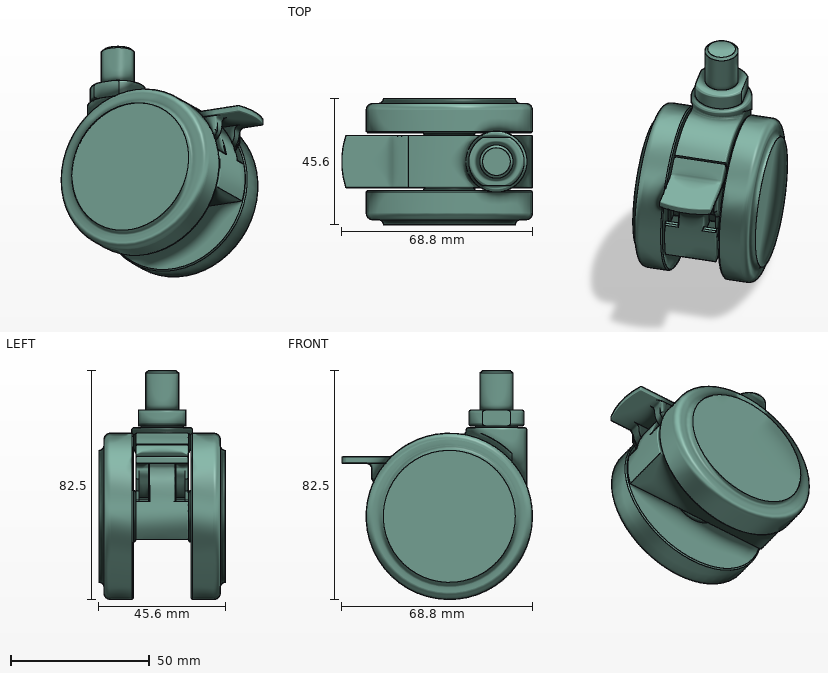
import cadquery as cq
import math


wheel_radius = 30.0
wheel_inner_y = 10.4
wheel_face_y = 21.0
wheel_inner_chamfer = 0.5
wheel_outer_fillet = 2.4
cap_radius = 23.8
cap_outer_y = 22.8
cap_blend = cap_outer_y - wheel_face_y
hub_radius = 9.3
hub_fillet = 0.8

housing_half_width = 9.5
housing_radius = wheel_radius
housing_bottom_z = -8.4
housing_edge_fillet = 0.4
beyond_side_y = 2 * housing_half_width
wheel_clearance_radius = 32.0
swivel_x = 17.0
barrel_radius = 11.0
barrel_top_z = 32.0
barrel_top_fillet = 1.0
barrel_root_fillet = 1.0

neck_radius = 7.65
collar_radius = 10.0
collar_bottom_z = 32.5
collar_top_z = 38.4
collar_fillet = 1.0
collar_across_flats = 17.2
stem_radius = 6.0
stem_top_z = 52.5
stem_chamfer_height = 0.85
stem_chamfer_width = 1.0

lever_tip_x = -38.81
lever_tip_radius = 30.0
lever_top_z = 21.5
lever_bottom_z = 19.05
lever_blend_start_x = -22.0
lever_blend_end_x = -20.0
lever_joint_angle = 119.5
lever_joint_gap = 0.5
lever_edge_fillet = 0.5

slot_inner_y = 4.6
slot_back_x = -19.0
slot_floor_z = 2.0
rib_edge_fillet = 0.3
lip_z = 5.8
lip_chamfer_x = -29.0
lip_back_x = -27.7
leg_clearance = 0.35
leg_front_x = -28.0
leg_root_fillet = 1.9
leg_roll_start_z = 16.4
leg_roll_radius = 6.8
leg_roll_angle = math.radians(45)
leg_foot_top_z = 6.8
leg_foot_bottom_z = 4.0
cheek_inner_y = 8.3
cheek_bend_z = 13.5
cheek_foot_x = -25.2
cheek_foot_z = 9.2
cheek_edge_fillet = 0.8


def on_circle(radius, angle):
    """Point in the XZ plane at an angle (degrees) from +X around the wheel axle."""
    return (radius * math.cos(math.radians(angle)), radius * math.sin(math.radians(angle)))


def on_housing_rim(x):
    """Upper point of the housing drum at a given X."""
    return (x, math.sqrt(housing_radius**2 - x**2))


def extrude_y(outline, y_start, y_end):
    """Prism of an XZ outline between two Y positions."""
    return outline.extrude(y_end - y_start).translate((0, y_end, 0))


def make_wheel(side):
    """Wheel with raised cap and inner hub; side is +1 or -1 along Y."""
    corner = math.sqrt(0.5)
    fillet_centre = (wheel_radius - wheel_outer_fillet, wheel_face_y - wheel_outer_fillet)
    blend_centre = (cap_radius + cap_blend, cap_outer_y)
    hub_centre = (hub_radius - hub_fillet, housing_half_width + hub_fillet)
    profile = (
        cq.Workplane("XY")
        .moveTo(0, housing_half_width)
        .lineTo(hub_centre[0], housing_half_width)
        .threePointArc(
            (hub_centre[0] + hub_fillet * corner, hub_centre[1] - hub_fillet * corner),
            (hub_radius, hub_centre[1]),
        )
        .lineTo(hub_radius, wheel_inner_y)
        .lineTo(wheel_radius - wheel_inner_chamfer, wheel_inner_y)
        .lineTo(wheel_radius, wheel_inner_y + wheel_inner_chamfer)
        .lineTo(wheel_radius, fillet_centre[1])
        .threePointArc(
            (fillet_centre[0] + wheel_outer_fillet * corner, fillet_centre[1] + wheel_outer_fillet * corner),
            (fillet_centre[0], wheel_face_y),
        )
        .lineTo(blend_centre[0], wheel_face_y)
        .threePointArc(
            (blend_centre[0] - cap_blend * corner, blend_centre[1] - cap_blend * corner),
            (cap_radius, cap_outer_y),
        )
        .lineTo(0, cap_outer_y)
        .close()
    )
    wheel = profile.revolve(360, (0, 0, 0), (0, 1, 0))
    return wheel if side > 0 else wheel.mirror("XZ")


def make_lever_pocket():
    """Space cleared in the housing for the lever plate: a sector above the plate's underside."""
    outside_radius = 1.5 * housing_radius
    joint_top = on_circle(outside_radius, lever_joint_angle)
    joint_foot_x = lever_bottom_z / math.tan(math.radians(lever_joint_angle))
    outline = cq.Workplane("XZ").polyline(
        [
            (joint_foot_x, lever_bottom_z),
            joint_top,
            (-outside_radius, joint_top[1]),
            (-outside_radius, lever_bottom_z),
        ]
    ).close()
    return extrude_y(outline, -beyond_side_y, beyond_side_y)


def make_leg_slot(side):
    """Slot open to the front and the side of the housing, with a flat, chamfered lip at its mouth."""
    outline = cq.Workplane("XZ").polyline(
        [
            (-housing_radius, lip_z - (housing_radius + lip_chamfer_x)),
            (lip_chamfer_x, lip_z),
            (lip_back_x, lip_z),
            (lip_back_x, slot_floor_z),
            (slot_back_x, slot_floor_z),
            (slot_back_x, lever_bottom_z),
            (-housing_radius, lever_bottom_z),
        ]
    ).close()
    slot = extrude_y(outline, slot_inner_y, beyond_side_y)
    return slot if side > 0 else slot.mirror("XZ")


def make_drum():
    """Drum between the wheels, cut off flat underneath."""
    drum = extrude_y(cq.Workplane("XZ").circle(housing_radius), -housing_half_width, housing_half_width)
    below = cq.Workplane("XY").box(
        2 * housing_radius, beyond_side_y * 2, housing_radius, centered=(True, True, False)
    )
    return drum.cut(below.translate((0, 0, housing_bottom_z - housing_radius)))


def make_barrel():
    """Upright swivel barrel, flattened on both sides where the wheels pass it."""
    barrel = cq.Workplane("XY").center(swivel_x, 0).circle(barrel_radius).extrude(barrel_top_z)
    barrel = barrel.faces(">Z").edges().fillet(barrel_top_fillet)
    for y_start, y_end in ((-beyond_side_y, -housing_half_width), (housing_half_width, beyond_side_y)):
        barrel = barrel.cut(extrude_y(cq.Workplane("XZ").circle(wheel_clearance_radius), y_start, y_end))
    return barrel


def round_housing_sides(housing):
    """Round the side edges of the drum, leaving out those on the barrel."""
    front_of_barrel = cq.selectors.BoxSelector(
        (-housing_radius, -beyond_side_y, -housing_radius),
        (swivel_x - barrel_radius / 2, beyond_side_y, housing_radius),
    )
    behind_barrel = cq.selectors.BoxSelector(
        (swivel_x + barrel_radius / 2, -beyond_side_y, -housing_radius),
        (housing_radius, beyond_side_y, housing_radius / 2),
    )
    side_edges = housing.edges(front_of_barrel + behind_barrel).edges("<Y or >Y")
    return side_edges.fillet(housing_edge_fillet)


def round_rib_edges(housing):
    """Round the drum edges of the rib left standing between the two leg slots."""
    rib_zone = cq.selectors.BoxSelector(
        (-housing_radius, -slot_inner_y - leg_clearance, lip_z),
        (slot_back_x, slot_inner_y + leg_clearance, lever_bottom_z),
    )
    return housing.edges(rib_zone).edges("%CIRCLE").fillet(rib_edge_fillet)


def make_housing():
    """Drum with the swivel barrel, cleared for the wheels and the lever."""
    housing = make_drum().union(make_barrel())
    housing = housing.edges("%BSPLINE").edges("<X").fillet(barrel_root_fillet)
    housing = round_housing_sides(housing)
    housing = housing.cut(make_lever_pocket())
    for side in (-1, 1):
        housing = housing.cut(make_leg_slot(side))
    return round_rib_edges(housing)


def make_lever_plate():
    """Foot plate with a bowed tip, rising into the drum outline up to the joint with the housing."""
    gap_angle = math.degrees(lever_joint_gap / housing_radius)
    joint_angle = lever_joint_angle + gap_angle
    blend_end = on_housing_rim(lever_blend_end_x)
    blend_angle = math.degrees(math.atan2(blend_end[1], blend_end[0]))
    joint_foot_x = lever_bottom_z / math.tan(math.radians(joint_angle))
    outline = (
        cq.Workplane("XZ")
        .moveTo(lever_tip_x, lever_bottom_z)
        .lineTo(lever_tip_x, lever_top_z)
        .lineTo(lever_blend_start_x, lever_top_z)
        .tangentArcPoint(blend_end, relative=False)
        .threePointArc(
            on_circle(housing_radius, (blend_angle + joint_angle) / 2),
            on_circle(housing_radius, joint_angle),
        )
        .lineTo(joint_foot_x, lever_bottom_z)
        .close()
    )
    plate = extrude_y(outline, -housing_half_width, housing_half_width)
    tip = (
        cq.Workplane("XY")
        .center(lever_tip_x + lever_tip_radius, 0)
        .circle(lever_tip_radius)
        .extrude(housing_radius)
    )
    plate = plate.intersect(tip)
    return plate.faces(">Z or <X or <Y or >Y").edges().fillet(lever_edge_fillet)


def begin_leg_outline():
    """Front of a leg or cheek: from the plate down the root fillet to the upright front."""
    corner = math.sqrt(0.5)
    root_start_x = leg_front_x - leg_root_fillet
    root_end_z = lever_bottom_z - leg_root_fillet
    return (
        cq.Workplane("XZ")
        .moveTo(slot_back_x, lever_bottom_z)
        .lineTo(root_start_x, lever_bottom_z)
        .threePointArc(
            (root_start_x + leg_root_fillet * corner, root_end_z + leg_root_fillet * corner),
            (leg_front_x, root_end_z),
        )
    )


def on_leg_roll(angle):
    """Point on the rounded front of a leg, at an angle below its upright tangent."""
    return (
        leg_front_x + leg_roll_radius * (1 - math.cos(angle)),
        leg_roll_start_z - leg_roll_radius * math.sin(angle),
    )


def make_lever_leg(side):
    """Leg with a front that rolls under into a sloped foot, and a thin cheek along its outer side."""
    roll_end = on_leg_roll(leg_roll_angle)
    foot_x = roll_end[0] + (roll_end[1] - leg_foot_top_z) / math.tan(leg_roll_angle)
    leg_outline = (
        begin_leg_outline()
        .lineTo(leg_front_x, leg_roll_start_z)
        .threePointArc(on_leg_roll(leg_roll_angle / 2), roll_end)
        .lineTo(foot_x, leg_foot_top_z)
        .lineTo(foot_x, leg_foot_bottom_z)
        .lineTo(slot_back_x, leg_foot_bottom_z)
        .close()
    )
    cheek_outline = (
        begin_leg_outline()
        .lineTo(leg_front_x, cheek_bend_z)
        .lineTo(cheek_foot_x, cheek_foot_z)
        .lineTo(cheek_foot_x, leg_foot_bottom_z)
        .lineTo(slot_back_x, leg_foot_bottom_z)
        .close()
    )
    cheek = extrude_y(cheek_outline, cheek_inner_y, housing_half_width)
    cheek = cheek.faces(">Y").edges("not(>X or >Z or <Z)").fillet(cheek_edge_fillet)
    leg = extrude_y(leg_outline, slot_inner_y + leg_clearance, cheek_inner_y).union(cheek)
    return leg if side > 0 else leg.mirror("XZ")


def make_lever():
    """Foot plate with its two legs, as one piece."""
    lever = make_lever_plate()
    for side in (-1, 1):
        lever = lever.union(make_lever_leg(side))
    return lever


def make_stem():
    """Threaded stem with a collar that has two spanner flats, standing on a short neck."""
    collar = (
        cq.Workplane("XY")
        .workplane(offset=collar_bottom_z)
        .circle(collar_radius)
        .extrude(collar_top_z - collar_bottom_z)
        .edges()
        .fillet(collar_fillet)
    )
    flats = cq.Workplane("XY").box(
        3 * collar_radius, collar_across_flats, stem_top_z, centered=(True, True, False)
    )
    neck = cq.Workplane("XY").workplane(offset=barrel_top_z).circle(neck_radius)
    neck = neck.extrude(collar_bottom_z + collar_fillet - barrel_top_z)
    rod = (
        cq.Workplane("XY")
        .workplane(offset=collar_bottom_z)
        .circle(stem_radius)
        .extrude(stem_top_z - collar_bottom_z)
        .faces(">Z")
        .chamfer(stem_chamfer_height, stem_chamfer_width)
    )
    return collar.intersect(flats).union(neck).union(rod).translate((swivel_x, 0, 0))


housing = make_housing()
lever = make_lever()
stem = make_stem()
wheels = [make_wheel(side) for side in (-1, 1)]

bodies = [housing, lever, stem, *wheels]
result = cq.Compound.makeCompound([body.solids().val() for body in bodies])